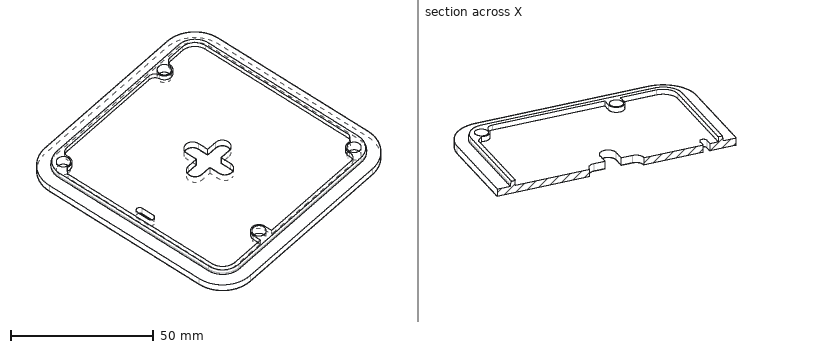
import cadquery as cq
import math

LENGTH = 94.3
WIDTH = 92.0
BASE_THICKNESS = 3.0
BASE_CORNER_RADIUS = 12.7

TOTAL_HEIGHT = 5.0
LIP_INSET = 5.0
LIP_WALL = 2.0
TAPER_HEIGHT = 1.2
TAPER_INSET = 0.4
LIP_HEIGHT = TOTAL_HEIGHT - BASE_THICKNESS
LIP_LENGTH = LENGTH - 2 * LIP_INSET
LIP_WIDTH = WIDTH - 2 * LIP_INSET
LIP_CORNER_RADIUS = BASE_CORNER_RADIUS - LIP_INSET

RECESS_LENGTH = LIP_LENGTH - 2 * LIP_WALL
RECESS_WIDTH = LIP_WIDTH - 2 * LIP_WALL
RECESS_CORNER_RADIUS = LIP_CORNER_RADIUS - LIP_WALL
SIDE_WALL_X = RECESS_LENGTH / 2
END_WALL_Y = RECESS_WIDTH / 2

BOSS_RADIUS = 3.0
HOLE_DIAMETER = 5.0
HOLE_DEPTH = 4.0
WEB_FILLET_RADIUS = 2.7
GUSSET_REACH = 5.0
CORNER_BOSS_X = 36.8
CORNER_BOSS_Y = 35.6
LEFT_BOSS = (-38.0, 20.85)
RIGHT_BOSS = (37.0, -16.4)
CORNER_BOSSES = [
    (CORNER_BOSS_X, CORNER_BOSS_Y),
    (-CORNER_BOSS_X, -CORNER_BOSS_Y),
]

CROSS_SPAN = 20.9
CROSS_ARM_WIDTH = 6.1
SLOT_LENGTH = 7.7
SLOT_WIDTH = 2.55
SLOT_Y = -34.5


def rounded_block(length, width, height, radius, bottom):
    block = cq.Workplane("XY").workplane(offset=bottom).rect(length, width).extrude(height)
    return block.edges("|Z").fillet(radius)


def raised(outline):
    """Extrude a closed outline from the recess floor to the lip top."""
    return outline.extrude(LIP_HEIGHT)


def floor_plane():
    return cq.Workplane("XY").workplane(offset=BASE_THICKNESS)


def filleted_web(boss, toward):
    """Join a boss to its nearest side wall with a concave arc tangent to both.

    toward is +1 or -1: the Y side of the boss on which the arc lies.
    """
    x, y = boss
    side = math.copysign(1, x)
    wall_x = side * SIDE_WALL_X
    arc_x = wall_x - side * WEB_FILLET_RADIUS
    arc_offset = math.sqrt((BOSS_RADIUS + WEB_FILLET_RADIUS) ** 2 - (arc_x - x) ** 2)
    arc_y = y + toward * arc_offset
    corners = [(wall_x, y), (wall_x, arc_y), (arc_x, arc_y), (x, y)]
    web = raised(floor_plane().polyline(corners).close())
    return web.cut(raised(floor_plane().center(arc_x, arc_y).circle(WEB_FILLET_RADIUS)))


def corner_gusset(boss):
    """Fill between a corner boss, the end wall and the rounded corner, ending in a 45 degree face."""
    x, y = boss
    side = math.copysign(1, x)
    wall_x = side * SIDE_WALL_X
    wall_y = side * END_WALL_Y
    face_end_x = x - side * GUSSET_REACH
    face_start_x = face_end_x + (wall_y - y)
    corners = [(wall_x, y), (wall_x, wall_y), (face_end_x, wall_y), (face_start_x, y)]
    return raised(floor_plane().polyline(corners).close())


def straight_web(boss):
    """Join a boss to the right side wall at full boss width."""
    x, y = boss
    reach = SIDE_WALL_X - x
    return raised(floor_plane().center(x + reach / 2, y).rect(reach, 2 * BOSS_RADIUS))


base = rounded_block(LENGTH, WIDTH, BASE_THICKNESS, BASE_CORNER_RADIUS, 0)
lip = rounded_block(LIP_LENGTH, LIP_WIDTH, LIP_HEIGHT, LIP_CORNER_RADIUS, BASE_THICKNESS)
lip = lip.faces(">Z").edges().chamfer(TAPER_HEIGHT, TAPER_INSET)
recess = rounded_block(RECESS_LENGTH, RECESS_WIDTH, LIP_HEIGHT, RECESS_CORNER_RADIUS, BASE_THICKNESS)

bosses = CORNER_BOSSES + [LEFT_BOSS, RIGHT_BOSS]
recess = recess.cut(raised(floor_plane().pushPoints(bosses).circle(BOSS_RADIUS)))
for boss in CORNER_BOSSES:
    inward = -math.copysign(1, boss[1])
    recess = recess.cut(filleted_web(boss, inward)).cut(corner_gusset(boss))
for toward in (1, -1):
    recess = recess.cut(filleted_web(LEFT_BOSS, toward))
recess = recess.cut(straight_web(RIGHT_BOSS))
plate = base.union(lip.cut(recess))

holes = (
    cq.Workplane("XY")
    .workplane(offset=TOTAL_HEIGHT - HOLE_DEPTH)
    .pushPoints(bosses)
    .circle(HOLE_DIAMETER / 2)
    .extrude(HOLE_DEPTH)
)

for angle in (0, 90):
    plate = plate.cut(cq.Workplane("XY").slot2D(CROSS_SPAN, CROSS_ARM_WIDTH, angle).extrude(BASE_THICKNESS))
slot = cq.Workplane("XY").center(0, SLOT_Y).slot2D(SLOT_LENGTH, SLOT_WIDTH).extrude(BASE_THICKNESS)

result = plate.cut(holes).cut(slot)